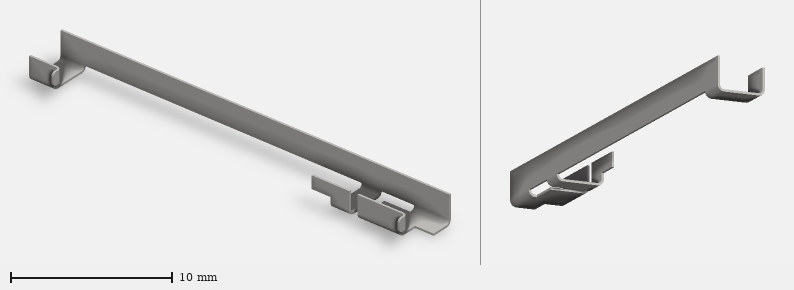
import cadquery as cq

LENGTH = 31.2
DEPTH = 3.9
HEIGHT = 2.28

SHEET = 0.15
FOLD_RADIUS = 0.45
HOOK_INNER_RADIUS = 0.22
HOOK_OUTER_RADIUS = HOOK_INNER_RADIUS + SHEET

CHANNEL_DEPTH = 3.2
FRONT_HEIGHT = 1.85
ARM_BOTTOM = 0.85

LEFT_FOOT = (0, 1.95)
MIDDLE_FOOT = (24.18, 25.68)
RIGHT_FOOT = (26.33, 29.7)
ARM_START = 22.65

RIGHT_ROOT_START = 28.4
BACK_GAP = 0.55
EAR_DEPTH = 1.7

HOOK_OFFSET = 0.2
HOOK_CORNER_RADIUS = 0.28

BACK = DEPTH
FRONT = BACK - CHANNEL_DEPTH


def box(x_range, y_range, z_range):
    """Block spanning the given X, Y and Z ranges."""
    size = [high - low for low, high in (x_range, y_range, z_range)]
    corner = (x_range[0], y_range[0], z_range[0])
    return cq.Workplane("XY").box(*size, centered=False).translate(corner)


def channel(x_start, x_end):
    """Full folded channel section over an X range."""
    y_range = (FRONT, BACK)
    inner_y = (FRONT + SHEET, BACK - SHEET)
    x_range = (x_start, x_end)
    outer = box(x_range, y_range, (0, HEIGHT)).edges("|X and <Z").fillet(FOLD_RADIUS)
    inner = box(x_range, inner_y, (SHEET, HEIGHT)).edges("|X and <Z").fillet(FOLD_RADIUS - SHEET)
    above_front = box(x_range, (FRONT, FRONT + SHEET), (FRONT_HEIGHT, HEIGHT))
    return outer.cut(inner).cut(above_front)


def hook(foot_end):
    """Strip continuing the front wall and bending forward to a rounded tip."""
    bend_x = foot_end + HOOK_OFFSET
    tip_x = bend_x + HOOK_OUTER_RADIUS
    center_y = FRONT - HOOK_INNER_RADIUS
    diagonal = 0.5 ** 0.5
    outer_mid = (bend_x + HOOK_OUTER_RADIUS * diagonal, center_y + HOOK_OUTER_RADIUS * diagonal)
    inner_mid = (bend_x + HOOK_INNER_RADIUS * diagonal, center_y + HOOK_INNER_RADIUS * diagonal)
    strip = (
        cq.Workplane("XY", origin=(0, 0, ARM_BOTTOM))
        .moveTo(foot_end - SHEET, FRONT + SHEET)
        .lineTo(bend_x, FRONT + SHEET)
        .threePointArc(outer_mid, (tip_x, center_y))
        .lineTo(tip_x, 0)
        .lineTo(tip_x - SHEET, 0)
        .lineTo(tip_x - SHEET, center_y)
        .threePointArc(inner_mid, (bend_x, FRONT))
        .lineTo(foot_end - SHEET, FRONT)
        .close()
        .extrude(FRONT_HEIGHT - ARM_BOTTOM)
    )
    return strip.edges("|X and <Y").fillet(HOOK_CORNER_RADIUS)


def right_foot():
    """Foot with a floor cut free of the wall at one end and an ear at the other."""
    start, end = RIGHT_FOOT
    foot = channel(start, LENGTH)
    free_edge = box((start, RIGHT_ROOT_START), (BACK - BACK_GAP, BACK), (0, FOLD_RADIUS))
    beyond_ear = box((end, LENGTH), (FRONT, BACK - EAR_DEPTH), (0, HEIGHT))
    return foot.cut(free_edge).cut(beyond_ear)


back_wall = box((0, LENGTH), (BACK - SHEET, BACK), (FOLD_RADIUS, HEIGHT))
front_arm = box(
    (ARM_START, MIDDLE_FOOT[1]),
    (FRONT, FRONT + SHEET),
    (ARM_BOTTOM, FRONT_HEIGHT),
)

result = (
    back_wall
    .union(channel(*LEFT_FOOT))
    .union(channel(*MIDDLE_FOOT))
    .union(right_foot())
    .union(front_arm)
    .union(hook(LEFT_FOOT[1]))
    .union(hook(RIGHT_FOOT[1]))
    .translate((-LENGTH / 2, -DEPTH / 2, -HEIGHT / 2))
)